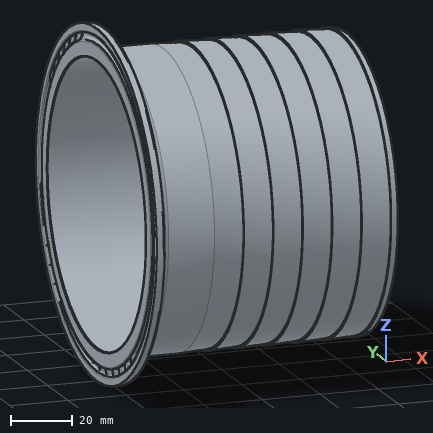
import cadquery as cq
import math

length = 86.5
flange_radius = 118.9 / 2
tube_radius = 101.5 / 2
bore_radius = 96.8 / 2
bore_chamfer = 0.2

rim_width = 2.7
cone_angle = 20
rim_fillet = 0.5
neck_fillet = 1.8
cone_length = (flange_radius - tube_radius) * math.tan(math.radians(cone_angle))
neck_x = rim_width + cone_length

barb_start = 23.0
barb_end = 84.0
barb_count = 6
barb_pitch = (barb_end - barb_start) / barb_count
barb_drop = 0.6
end_drop = 0.4
end_fillet = 0.4

groove_radius = 55.2
groove_section_radius = 1.3
groove_lip_fillet = 0.6


def tube_profile():
    """Half section of the tube, X along the axis and Y as radius."""
    profile = (
        cq.Workplane("XY")
        .moveTo(bore_chamfer, bore_radius)
        .lineTo(0, bore_radius + bore_chamfer)
        .lineTo(0, flange_radius)
        .lineTo(rim_width, flange_radius)
        .lineTo(neck_x, tube_radius)
        .lineTo(barb_start, tube_radius)
    )
    for index in range(1, barb_count + 1):
        step_x = barb_start + index * barb_pitch
        profile = profile.lineTo(step_x, tube_radius - barb_drop).lineTo(step_x, tube_radius)
    return (
        profile.lineTo(length, tube_radius - end_drop)
        .lineTo(length, bore_radius)
        .close()
    )


def revolve_about_axis(profile):
    return profile.revolve(360, (0, 0, 0), (1, 0, 0))


def circle_edge(body, x, radius):
    """Select the circular edge of the given radius at position x along the axis."""
    margin = 0.06
    reach = radius + margin
    box = cq.selectors.BoxSelector(
        (x - margin, -reach, -reach), (x + margin, reach, reach), boundingbox=True
    )
    return body.edges(box).edges(cq.selectors.RadiusNthSelector(-1))


def gasket_groove():
    """Ring with a half-round section, sunk into the clamp face."""
    section = (
        cq.Workplane("XY")
        .moveTo(0, groove_radius - groove_section_radius)
        .threePointArc((groove_section_radius, groove_radius), (0, groove_radius + groove_section_radius))
        .close()
    )
    return revolve_about_axis(section)


body = revolve_about_axis(tube_profile())
body = circle_edge(body, rim_width, flange_radius).fillet(rim_fillet)
body = circle_edge(body, neck_x, tube_radius).fillet(neck_fillet)
body = circle_edge(body, length, tube_radius - end_drop).fillet(end_fillet)

body = body.cut(gasket_groove())
for side in (-1, 1):
    lip_radius = groove_radius + side * groove_section_radius
    body = circle_edge(body, 0, lip_radius).fillet(groove_lip_fillet)

result = body